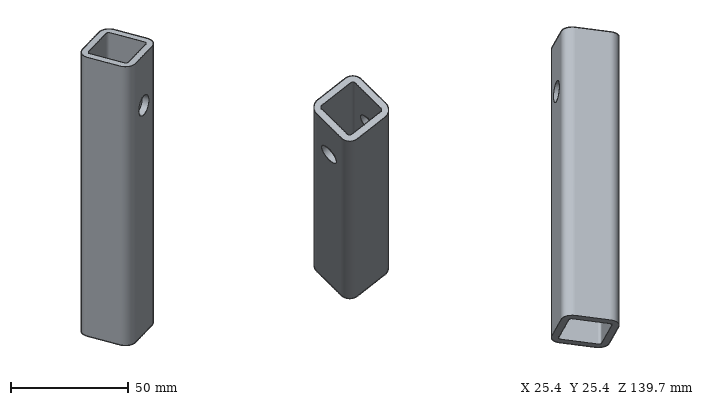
import cadquery as cq

length = 139.7
side = 25.4
wall = 3.2
outer_corner_radius = 4.9
inner_corner_radius = 1.3

hole_diameter = 9.5
hole_from_top = 25.3


def rounded_bar(width, corner_radius):
    """Square bar of full length with rounded upright edges."""
    return cq.Workplane("XY").rect(width, width).extrude(length).edges("|Z").fillet(corner_radius)


def pin_hole():
    """Cylinder that crosses the whole tube along X."""
    return (
        cq.Workplane("YZ")
        .center(0, length - hole_from_top)
        .circle(hole_diameter / 2)
        .extrude(side, both=True)
    )


bore = rounded_bar(side - 2 * wall, inner_corner_radius)
tube = rounded_bar(side, outer_corner_radius).cut(bore)
result = tube.cut(pin_hole())